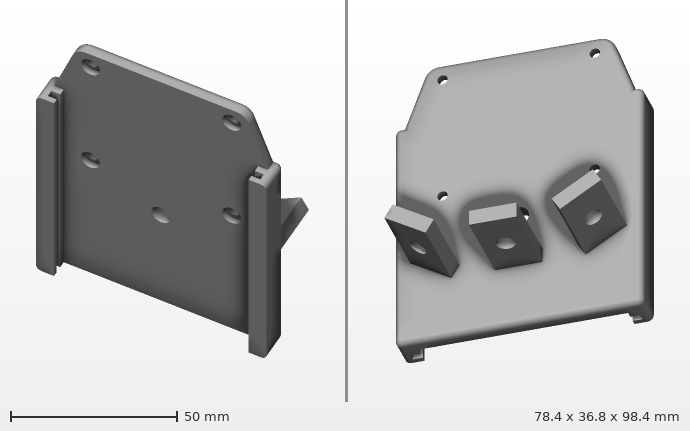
import cadquery as cq

width = 78.4
height = 98.4
depth = 36.8

plate_thickness = 4.6
plate_back = 10.9
plate_front = plate_back - plate_thickness
shoulder_height = 78.0
shoulder_half_width = 36.3
head_half_width = 28.8
head_corner_radius = 5.0
edge_radius = 2.0

rail_width = 6.1
rail_wall = 3.1
front_lip_thickness = 1.8
slot_width = 2.3

screw_half_spacing = 24.0
screw_heights = (50.8, 92.7)
screw_diameter = 3.2
counterbore_diameter = 6.5
counterbore_depth = 2.0
center_hole_diameter = 6.5
center_hole_height = 38.6

tab_length = depth - plate_back
center_tab_width = 15.0
side_tab_width = 15.3
tab_thickness = 5.0
tab_hole_diameter = 6.0
tab_tilt = 31.5
side_tab_offset = 26.4
side_tab_height = 26.7
center_tab_height = 23.1


def extrude_along_y(profile, y_start, y_end):
    """Extrude an XZ-plane profile between two Y positions."""
    return profile.extrude(y_start - y_end).translate((0, y_start, 0))


def make_body():
    """Plate and rail blocks, rounded around the back."""
    lower = extrude_along_y(
        cq.Workplane("XZ").center(0, shoulder_height / 2).rect(width, shoulder_height), 0, plate_back
    )
    lower = lower.edges("|Y").fillet(edge_radius)
    lower = lower.faces(">Y").edges().fillet(edge_radius)

    head_base = shoulder_height / 2
    head_profile = (
        cq.Workplane("XZ")
        .moveTo(-shoulder_half_width, head_base)
        .lineTo(-shoulder_half_width, shoulder_height)
        .lineTo(-head_half_width, height)
        .lineTo(head_half_width, height)
        .lineTo(shoulder_half_width, shoulder_height)
        .lineTo(shoulder_half_width, head_base)
        .close()
    )
    head = extrude_along_y(head_profile, plate_front, plate_back)
    head = head.edges("|Y and >Z").fillet(head_corner_radius)
    head = head.faces(">Y").edges("not <Z").fillet(edge_radius)

    channel_width = width - 2 * rail_width
    channel = cq.Workplane("XY").box(channel_width, plate_front, height, centered=(True, False, False))
    return lower.cut(channel).union(head)


def make_rail_slots():
    """One cutter that opens the inward-facing slot of both rails."""
    return (
        cq.Workplane("XY")
        .box(width - 2 * rail_wall, slot_width, height, centered=(True, False, False))
        .translate((0, front_lip_thickness, 0))
    )


def make_screw_hole(x, z):
    """Cutter for a through hole with a counterbore in the plate front."""
    axis = cq.Workplane("XZ").center(x, z)
    bore = extrude_along_y(axis.circle(screw_diameter / 2), plate_front, plate_back)
    recess = extrude_along_y(
        axis.circle(counterbore_diameter / 2), plate_front, plate_front + counterbore_depth
    )
    return bore.union(recess)


def make_tab(x, z, tab_width, tilt):
    """Drilled tab centred at (x, z) and tilted about its Y axis."""
    return (
        cq.Workplane("XY")
        .box(tab_width, tab_length, tab_thickness)
        .faces(">Z")
        .workplane()
        .hole(tab_hole_diameter)
        .rotate((0, 0, 0), (0, 1, 0), tilt)
        .translate((x, plate_back + tab_length / 2, z))
    )


result = make_body().cut(make_rail_slots())

for screw_height in screw_heights:
    for side in (-1, 1):
        result = result.cut(make_screw_hole(side * screw_half_spacing, screw_height))

center_hole = cq.Workplane("XZ").center(0, center_hole_height).circle(center_hole_diameter / 2)
result = result.cut(extrude_along_y(center_hole, plate_front, plate_back))

for side in (-1, 0, 1):
    tab_height = side_tab_height if side else center_tab_height
    tab_width = side_tab_width if side else center_tab_width
    result = result.union(make_tab(side * side_tab_offset, tab_height, tab_width, -side * tab_tilt))

result = result.translate((0, -depth / 2, -height / 2))